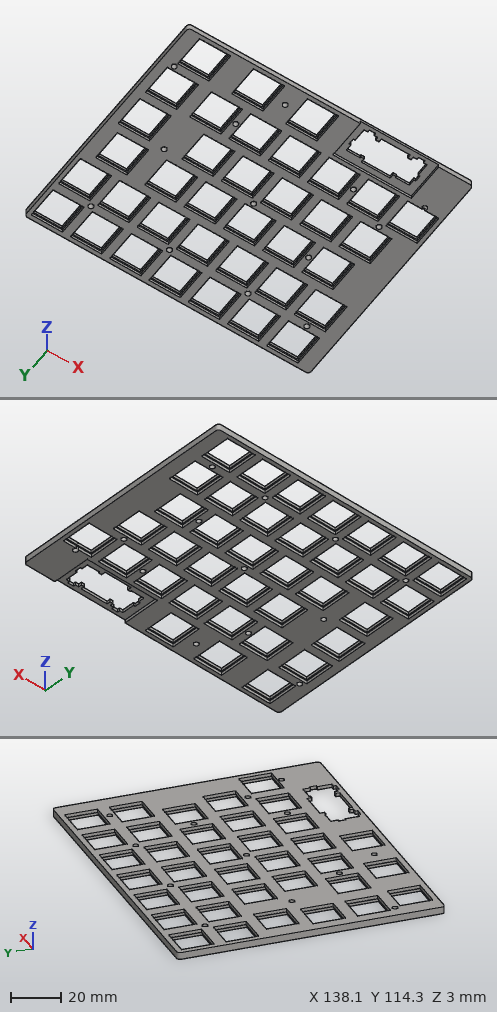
import cadquery as cq

length = 138.1
columns = 7.25
rows = 6
key_unit = length / columns
width = rows * key_unit
thickness = 3.0
corner_radius = 1.5
lip_thickness = thickness / 2

switch_size = 14.0
undercut_margin = 0.5
switch_rows = [
    [0.5, 1.5, 2.5, 3.5, 4.5, 5.5, 6.5],
    [0.5, 1.5, 2.5, 3.5, 4.5, 5.5, 6.5],
    [0.75, 2.0, 3.0, 4.0, 5.0, 6.0],
    [0.625, 2.25, 3.25, 4.25, 5.25, 6.25],
    [0.625, 1.75, 2.75, 3.75, 4.75, 5.75, 6.75],
    [0.75, 2.125, 3.5],
]

hole_diameter = 2.3
grid_holes = [
    (1.0, 1.0), (3.0, 1.0), (5.0, 1.0), (6.5, 1.0),
    (5.5, 2.5),
    (3.75, 3.0),
    (6.25, 4.0),
    (2.25, 4.5), (5.25, 4.5),
    (2.8125, 5.5),
]
free_holes = [(-42.4, -2.0), (-62.7, -38.1), (59.5, -37.2)]

wide_key_column = 5.375
wide_key_row = 5.5
stabilizer_offset = 11.95
stabilizer_width = 6.6
stabilizer_top = 5.5
stabilizer_bottom = -6.8
neck_top = 5.0
neck_bottom = -5.2
side_slot_reach = 16.2
side_slot_top = 2.3
side_slot_bottom = -0.5
foot_width = 3.0
foot_bottom = -7.9

relief_length = 38.0
relief_width = key_unit
relief_depth = thickness - lip_thickness


def grid_point(column, row):
    """Position of a point given in key units from the left and top edges."""
    return (column * key_unit - length / 2, width / 2 - row * key_unit)


def through_box(x_min, x_max, y_min, y_max):
    """Box through the full plate thickness."""
    return cq.Workplane("XY").box(
        x_max - x_min, y_max - y_min, thickness, centered=False
    ).translate((x_min, y_min, 0))


def wide_key_opening():
    """Switch opening, connecting neck and two mirrored stabilizer openings."""
    half_switch = switch_size / 2
    half_width = stabilizer_width / 2
    half_foot = foot_width / 2
    switch = through_box(-half_switch, half_switch, -half_switch, half_switch)
    neck = through_box(-stabilizer_offset, stabilizer_offset, neck_bottom, neck_top)
    opening = switch.union(neck)
    for side in (-1, 1):
        centre = side * stabilizer_offset
        slot_start, slot_end = sorted((centre, side * side_slot_reach))
        body = through_box(centre - half_width, centre + half_width, stabilizer_bottom, stabilizer_top)
        side_slot = through_box(slot_start, slot_end, side_slot_bottom, side_slot_top)
        foot = through_box(centre - half_foot, centre + half_foot, foot_bottom, 0)
        opening = opening.union(body).union(side_slot).union(foot)
    return opening


plate = (
    cq.Workplane("XY")
    .rect(length, width)
    .extrude(thickness)
    .edges("|Z")
    .fillet(corner_radius)
)

switch_centres = [
    grid_point(column, row + 0.5)
    for row, key_columns in enumerate(switch_rows)
    for column in key_columns
]
switch_openings = (
    cq.Workplane("XY")
    .pushPoints(switch_centres)
    .rect(switch_size, switch_size)
    .extrude(thickness)
)
undercut_size = switch_size + 2 * undercut_margin
switch_undercuts = (
    cq.Workplane("XY")
    .pushPoints(switch_centres)
    .rect(undercut_size, undercut_size)
    .extrude(thickness - lip_thickness)
)

hole_centres = [grid_point(column, row) for column, row in grid_holes] + free_holes
round_holes = (
    cq.Workplane("XY")
    .pushPoints(hole_centres)
    .circle(hole_diameter / 2)
    .extrude(thickness)
)

wide_key_x, wide_key_y = grid_point(wide_key_column, wide_key_row)
wide_opening = wide_key_opening().translate((wide_key_x, wide_key_y, 0))
relief = (
    cq.Workplane("XY")
    .center(wide_key_x, -width / 2 + relief_width / 2)
    .rect(relief_length, relief_width)
    .extrude(relief_depth)
)

result = (
    plate
    .cut(switch_openings)
    .cut(switch_undercuts)
    .cut(round_holes)
    .cut(wide_opening)
    .cut(relief)
)